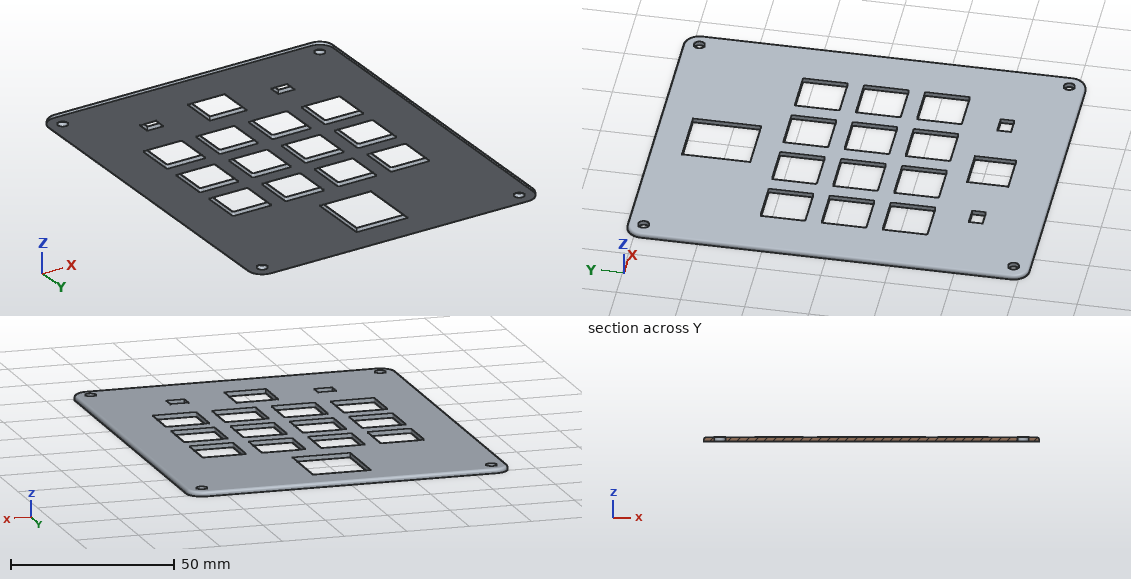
import cadquery as cq

PLATE_WIDTH = 102.96
PLATE_LENGTH = 125.41
PLATE_THICKNESS = 1.5
CORNER_RADIUS = 5.0
TOP_EDGE_RADIUS = 1.0

SCREW_HOLE_DIAMETER = 3.4
SCREW_SPACING_X = PLATE_WIDTH - 2 * CORNER_RADIUS
SCREW_SPACING_Y = PLATE_LENGTH - 2 * CORNER_RADIUS

KEY_COLUMNS = 4
KEY_ROWS = 3
KEY_PITCH = 19.05
KEY_SIZE = 14.0
KEY_CORNER_RADIUS = 0.5
KEY_GRID_CENTER_Y = -2.7

DISPLAY_WIDTH = 18.5
DISPLAY_LENGTH = 21.3
DISPLAY_CENTER_Y = 42.1

LOWER_ROW_CENTER_X = -0.3
LOWER_ROW_CENTER_Y = -42.2
LOWER_WINDOW_WIDTH = 13.4
LOWER_WINDOW_LENGTH = 12.9
SLOT_WIDTH = 5.8
SLOT_LENGTH = 4.3
SLOT_SPACING = 47.4


def make_plate():
    """Plate with rounded corners and a rounded upper rim."""
    plate = cq.Workplane("XY").rect(PLATE_WIDTH, PLATE_LENGTH).extrude(PLATE_THICKNESS)
    plate = plate.edges("|Z").fillet(CORNER_RADIUS)
    return plate.faces(">Z").edges().fillet(TOP_EDGE_RADIUS)


def make_screw_holes():
    """Cutters for the four corner screw holes."""
    corners = cq.Workplane("XY").rect(SCREW_SPACING_X, SCREW_SPACING_Y, forConstruction=True).vertices()
    return corners.circle(SCREW_HOLE_DIAMETER / 2).extrude(PLATE_THICKNESS)


def make_key_openings():
    """Cutters for the grid of square key openings with slightly rounded corners."""
    grid = cq.Workplane("XY").center(0, KEY_GRID_CENTER_Y)
    grid = grid.rarray(KEY_PITCH, KEY_PITCH, KEY_COLUMNS, KEY_ROWS)
    return grid.rect(KEY_SIZE, KEY_SIZE).extrude(PLATE_THICKNESS).edges("|Z").fillet(KEY_CORNER_RADIUS)


def make_window(width, length, center_x, center_y):
    """Cutter for one sharp-cornered rectangular opening."""
    return cq.Workplane("XY").center(center_x, center_y).rect(width, length).extrude(PLATE_THICKNESS)


result = make_plate().cut(make_screw_holes()).cut(make_key_openings())
result = result.cut(make_window(DISPLAY_WIDTH, DISPLAY_LENGTH, 0, DISPLAY_CENTER_Y))
result = result.cut(
    make_window(LOWER_WINDOW_WIDTH, LOWER_WINDOW_LENGTH, LOWER_ROW_CENTER_X, LOWER_ROW_CENTER_Y)
)
for side in (-1, 1):
    slot_center_x = LOWER_ROW_CENTER_X + side * SLOT_SPACING / 2
    result = result.cut(make_window(SLOT_WIDTH, SLOT_LENGTH, slot_center_x, LOWER_ROW_CENTER_Y))